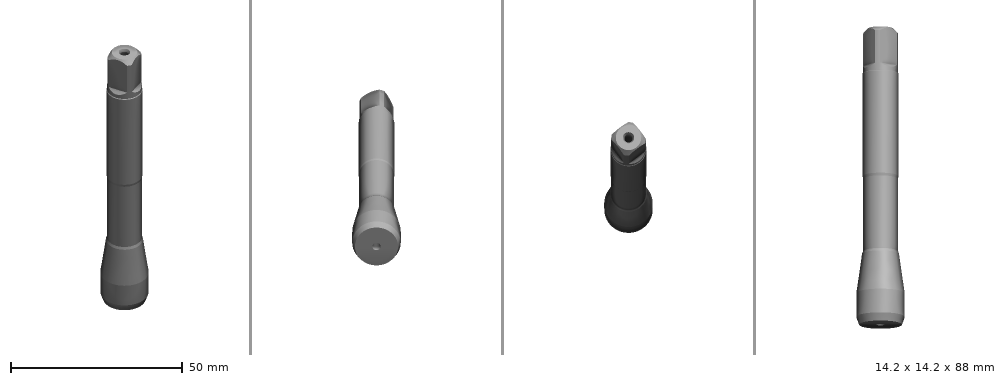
import cadquery as cq

LENGTH = 88.0
BORE_DIAMETER = 2.5

FOOT_DIAMETER = 14.2
FOOT_END_DIAMETER = 12.6
FLARE_TOP_DIAMETER = 10.8
NECK_DIAMETER = 10.2
STEM_DIAMETER = 10.5
FOOT_BEVEL_TOP = 2.3
FOOT_TOP = 9.3
FLARE_TOP = 21.0
BAND_HEIGHT = 0.8
STEM_START = 44.2
HOLDER_TOP = 74.8
RIM_CHAMFER = 0.2

DRIVE_DIAMETER = 10.1
SQUARE_WIDTH = 8.1
SQUARE_BASE = 77.0
TIP_DIAMETER = 7.4
CENTRE_DIAMETER = 3.3
CENTRE_DEPTH = 0.8


def revolve_profile(points):
    """Revolve a closed (radius, height) outline about the Z axis."""
    return cq.Workplane("XZ").polyline(points).close().revolve(360, (0, 0, 0), (0, 1, 0))


def make_holder():
    """Stepped stem, flared foot and through bore."""
    bore_radius = BORE_DIAMETER / 2
    stem_radius = STEM_DIAMETER / 2
    return revolve_profile([
        (bore_radius, 0),
        (FOOT_END_DIAMETER / 2, 0),
        (FOOT_DIAMETER / 2, FOOT_BEVEL_TOP),
        (FOOT_DIAMETER / 2, FOOT_TOP),
        (FLARE_TOP_DIAMETER / 2, FLARE_TOP),
        (NECK_DIAMETER / 2, FLARE_TOP + BAND_HEIGHT),
        (NECK_DIAMETER / 2, STEM_START - BAND_HEIGHT),
        (stem_radius, STEM_START),
        (stem_radius, HOLDER_TOP - RIM_CHAMFER),
        (stem_radius - RIM_CHAMFER, HOLDER_TOP),
        (bore_radius, HOLDER_TOP),
    ])


def make_drive_blank():
    """Round blank with a 45 degree tip bevel, a bore and a conical centre."""
    bore_radius = BORE_DIAMETER / 2
    drive_radius = DRIVE_DIAMETER / 2
    tip_bevel = drive_radius - TIP_DIAMETER / 2
    return revolve_profile([
        (bore_radius, HOLDER_TOP),
        (drive_radius, HOLDER_TOP),
        (drive_radius, LENGTH - tip_bevel),
        (TIP_DIAMETER / 2, LENGTH),
        (CENTRE_DIAMETER / 2, LENGTH),
        (bore_radius, LENGTH - CENTRE_DEPTH),
    ])


def make_flat_cutter():
    """Cutter for one flat on the +X side, with a 45 degree sloping base."""
    inner = SQUARE_WIDTH / 2
    outer = DRIVE_DIAMETER
    outline = [
        (inner, SQUARE_BASE),
        (outer, SQUARE_BASE - (outer - inner)),
        (outer, LENGTH),
        (inner, LENGTH),
    ]
    return cq.Workplane("XZ").polyline(outline).close().extrude(DRIVE_DIAMETER / 2, both=True)


def make_drive():
    """Drive blank with four flats cut around its upper end."""
    drive = make_drive_blank()
    flat_cutter = make_flat_cutter()
    for angle in (0, 90, 180, 270):
        drive = drive.cut(flat_cutter.rotate((0, 0, 0), (0, 0, 1), angle))
    return drive


holder = make_holder()
drive = make_drive()
result = cq.Compound.makeCompound([holder.val(), drive.val()])